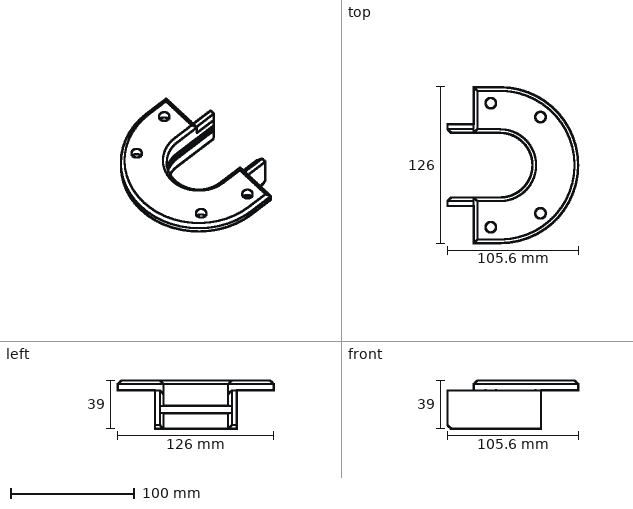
import cadquery as cq

height = 39.0
plate_radius = 63.0
plate_thickness = 8.1
plate_end_x = -21.4
collar_radius = 33.0
bore_radius = 26.0
leg_end_x = -42.6
bevel = 3.0

groove_mid_z = 15.6
groove_width = 5.3
groove_lip_bevel = 0.8
groove_depth = bevel

hole_diameter = 8.3
hole_positions = [(-7.5, 50.0), (32.5, 38.8)]

plate_bottom_z = height - plate_thickness
cut_margin = 6.3
open_end_x = leg_end_x - cut_margin


def round_ended(radius, end_x, bottom_z, depth):
    """Solid with straight sides from end_x to the Z axis and a half-round +X end."""
    return (
        cq.Workplane("XY", origin=(0, 0, bottom_z))
        .moveTo(end_x, -radius)
        .lineTo(0, -radius)
        .threePointArc((radius, 0), (0, radius))
        .lineTo(end_x, radius)
        .close()
        .extrude(depth)
    )


def swept_channel(wall):
    """Channel whose wall, as (radius, z) points from the bottom up, has a round end."""
    bottom_z = wall[0][1]
    top_z = wall[-1][1]
    mirrored_wall = [(-radius, z) for radius, z in reversed(wall)]
    round_end = (
        cq.Workplane("XZ")
        .polyline([(0, bottom_z)] + wall + [(0, top_z)])
        .close()
        .revolve(360, (0, 0, 0), (0, 1, 0))
    )
    straight = (
        cq.Workplane("YZ", origin=(open_end_x, 0, 0))
        .polyline(wall + mirrored_wall)
        .close()
        .extrude(-open_end_x)
    )
    return straight.union(round_end)


plate = round_ended(plate_radius, plate_end_x, plate_bottom_z, plate_thickness)
plate = plate.faces(">Z").edges().chamfer(bevel)

collar = round_ended(collar_radius, leg_end_x, 0, plate_bottom_z)
collar = collar.faces("<Z").edges("<X").chamfer(bevel)

bore = swept_channel([
    (bore_radius, -cut_margin),
    (bore_radius, height - bevel),
    (bore_radius + bevel, height),
])

groove_floor_radius = bore_radius + groove_depth
groove_bottom_z = groove_mid_z - groove_width / 2
groove_top_z = groove_mid_z + groove_width / 2
groove = swept_channel([
    (bore_radius, groove_bottom_z - groove_lip_bevel),
    (bore_radius + groove_lip_bevel, groove_bottom_z),
    (groove_floor_radius, groove_bottom_z),
    (groove_floor_radius, groove_top_z),
    (bore_radius + groove_lip_bevel, groove_top_z),
    (bore_radius, groove_top_z + groove_lip_bevel),
])

leg_lead_in = (
    cq.Workplane("XY")
    .polyline([
        (leg_end_x, -bore_radius - bevel),
        (leg_end_x + bevel, -bore_radius),
        (leg_end_x + bevel, bore_radius),
        (leg_end_x, bore_radius + bevel),
    ])
    .close()
    .extrude(plate_bottom_z)
)

leg_top_bevel = (
    cq.Workplane("YZ", origin=(leg_end_x, 0, 0))
    .polyline([
        (-bore_radius - bevel, plate_bottom_z),
        (-bore_radius, plate_bottom_z - bevel),
        (bore_radius, plate_bottom_z - bevel),
        (bore_radius + bevel, plate_bottom_z),
    ])
    .close()
    .extrude(plate_end_x - leg_end_x)
)

holes = (
    cq.Workplane("XY", origin=(0, 0, plate_bottom_z))
    .pushPoints([(x, side * y) for x, y in hole_positions for side in (-1, 1)])
    .circle(hole_diameter / 2)
    .extrude(plate_thickness)
)

result = plate.union(collar)
for cutter in (bore, groove, leg_lead_in, leg_top_bevel, holes):
    result = result.cut(cutter)